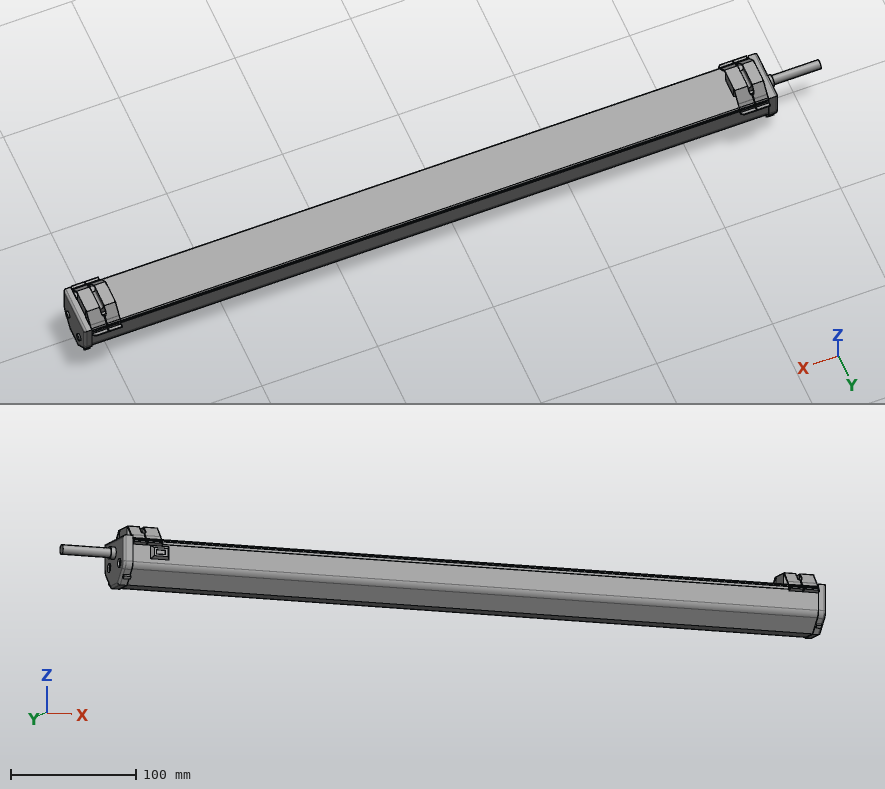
import cadquery as cq
import math

overall_length = 645.39
overall_height = 48.11
clip_width = 51.39

cap_half_width = 22.3
cap_height = 38.4
cap_fillet = 1.9
cap_left_start = 44.8
cap_left_length = 7.9
cap_right_length = 6.5
screw_head_height = 1.5
cap_right_end = overall_length - screw_head_height

profile_inset = 1.0
profile_half_width = cap_half_width - profile_inset
profile_height = 36.9
profile_corner = 1.0
profile_shoulder = profile_height - profile_corner
profile_start = cap_left_start + cap_left_length
profile_end = cap_right_end - cap_right_length

flank_angle = math.radians(45)
shoulder_radius = 8.9
shoulder_center_z = 17.2
shoulder_center_y = cap_half_width - shoulder_radius

groove_drop = 0.9
groove_top = profile_shoulder - groove_drop
groove_height = 2.2
groove_depth = 1.0
groove_bottom = groove_top - groove_height
groove_half_width = profile_half_width - groove_depth

nub_size = 2.6
nub_y = 15.9
nub_z = 5.6

cable_z = 27.3
cable_radius = 3.9
gland_radius = 5.0
gland_start = 40.8

screw_y = 11.7
screw_z = 17.3
screw_radius = 2.9
recess_radius = 3.6
recess_depth = 1.5
socket_radius = 2.0
socket_depth = 3.0

switch_start = 68.0
switch_length = 15.8
switch_bottom = 20.5
switch_top = 31.3
switch_height = switch_top - switch_bottom
switch_projection = 3.0
switch_taper = 35
switch_window_length = 7.6
switch_window_height = 3.4
switch_window_depth = 1.0

clip_length = 25.0
clip_starts = (profile_start, profile_end - clip_length)
clip_thickness = 1.1
clip_top_half_width = 10.6
clip_knee_y = 18.5
clip_knee_z = 39.6
clip_leg_half_width = profile_half_width + clip_thickness
clip_block_half_width = 8.8
lip_tip_z = 33.9
lip_bottom = 31.4
lip_corner = 2.0
notch_width = 3.9
notch_offset = 11.7
notch_floor = 42.0
slit_width = 0.6


def end_view(x):
    """Sketch plane across the bar at x, with local axes along +Y and +Z."""
    return cq.Workplane("YZ", origin=(x, 0, 0))


def mirrored(half):
    """Full left-right symmetric point list from its +Y half."""
    return half + [(-y, z) for y, z in reversed(half)]


def bar_section(x, length, half_width, bottom, top):
    """Prism with vertical walls, rounded shoulders, 45 degree flanks and a flat underside."""
    radius = half_width - shoulder_center_y

    def shoulder_point(angle):
        return (shoulder_center_y + radius * math.cos(angle), shoulder_center_z - radius * math.sin(angle))

    flank_y, flank_z = shoulder_point(flank_angle)
    foot_y = flank_y - (flank_z - bottom)
    middle_y, middle_z = shoulder_point(flank_angle / 2)
    return (
        end_view(x)
        .moveTo(-half_width, top)
        .lineTo(half_width, top)
        .lineTo(half_width, shoulder_center_z)
        .threePointArc((middle_y, middle_z), (flank_y, flank_z))
        .lineTo(foot_y, bottom)
        .lineTo(-foot_y, bottom)
        .lineTo(-flank_y, flank_z)
        .threePointArc((-middle_y, middle_z), (-half_width, shoulder_center_z))
        .close()
        .extrude(length)
    )


def make_profile():
    length = profile_end - profile_start
    profile = bar_section(profile_start, length, profile_half_width, profile_inset / 2, profile_height)
    profile = profile.faces(">Z").edges("|X").chamfer(profile_corner)
    for side in (-1, 1):
        groove_y = side * (profile_half_width - groove_depth / 2)
        groove_z = groove_top - groove_height / 2
        groove = (
            end_view(profile_start)
            .center(groove_y, groove_z)
            .rect(groove_depth, groove_height)
            .extrude(length)
        )
        profile = profile.cut(groove)
    return profile


def make_cap(x, length, outer_face):
    cap = bar_section(x, length, cap_half_width, 0, cap_height)
    cap = cap.faces(outer_face).edges().fillet(cap_fillet)
    nub_start = x if outer_face == ">X" else x + cap_fillet
    for side in (-1, 1):
        nub = (
            end_view(nub_start)
            .center(side * nub_y, nub_z)
            .transformed(rotate=(0, 0, math.degrees(flank_angle)))
            .rect(nub_size, nub_size)
            .extrude(length - cap_fillet)
        )
        cap = cap.union(nub)
    return cap


def screw_cylinders(x, radius, length):
    return end_view(x).pushPoints([(-screw_y, screw_z), (screw_y, screw_z)]).circle(radius).extrude(length)


def make_switch():
    switch = (
        cq.Workplane("XZ", origin=(switch_start, -profile_half_width, switch_bottom))
        .rect(switch_length, switch_height, centered=False)
        .extrude(switch_projection, taper=switch_taper)
    )
    return (
        switch.faces("<Y")
        .workplane(centerOption="CenterOfBoundBox")
        .rect(switch_window_length, switch_window_height)
        .cutBlind(-switch_window_depth)
    )


def make_housing():
    left_cap = make_cap(cap_left_start, cap_left_length, "<X")
    left_cap = left_cap.cut(screw_cylinders(cap_left_start, recess_radius, recess_depth))
    left_cap = left_cap.cut(screw_cylinders(cap_left_start, socket_radius, socket_depth))
    right_cap = make_cap(profile_end, cap_right_length, ">X")
    right_cap = right_cap.union(screw_cylinders(cap_right_end, screw_radius, screw_head_height))
    gland = (
        end_view(gland_start).center(0, cable_z).circle(gland_radius).extrude(cap_left_start - gland_start)
    )
    cable = end_view(0).center(0, cable_z).circle(cable_radius).extrude(gland_start)
    housing = make_profile()
    for piece in (left_cap, right_cap, gland, cable, make_switch()):
        housing = housing.union(piece)
    return housing


def make_clip(x):
    """Bridge over the bar with sloping legs that hook into the side grooves."""
    half_section = [
        (clip_top_half_width, overall_height),
        (clip_knee_y, clip_knee_z),
        (clip_leg_half_width, groove_top),
        (clip_leg_half_width, groove_bottom),
        (clip_width / 2, lip_tip_z),
        (clip_width / 2, lip_tip_z - clip_thickness),
        (profile_half_width, lip_bottom),
        (profile_half_width, groove_bottom),
        (groove_half_width, groove_bottom),
        (groove_half_width, groove_top),
        (profile_half_width, groove_top),
        (profile_half_width, profile_shoulder),
        (profile_half_width - profile_corner, profile_height),
        (clip_knee_y - clip_thickness, clip_knee_z - clip_thickness / 2),
        (clip_top_half_width - clip_thickness / 2, overall_height - clip_thickness),
    ]
    clip = end_view(x).polyline(mirrored(half_section)).close().extrude(clip_length)

    block_height = overall_height - profile_height
    block = (
        end_view(x)
        .center(0, profile_height + block_height / 2)
        .rect(2 * clip_block_half_width, block_height)
        .extrude(clip_length)
    )
    clip = clip.union(block)

    notch_radius = notch_width / 2
    notch = (
        cq.Workplane("XZ", origin=(x + notch_offset, clip_width / 2, 0))
        .moveTo(-notch_radius, overall_height)
        .lineTo(-notch_radius, notch_floor + notch_radius)
        .threePointArc((0, notch_floor), (notch_radius, notch_floor + notch_radius))
        .lineTo(notch_radius, overall_height)
        .close()
        .extrude(clip_width)
    )
    clip = clip.cut(notch)

    slit_depth = clip_width / 2 - clip_block_half_width
    for side in (-1, 1):
        slit = cq.Workplane("XY").box(slit_width, slit_depth, overall_height, centered=(True, True, False))
        slit_y = side * (clip_block_half_width + slit_depth / 2)
        clip = clip.cut(slit.translate((x + notch_offset, slit_y, 0)))

        corner = (
            cq.Workplane("XY")
            .moveTo(x + clip_length, side * clip_width / 2)
            .lineTo(x + clip_length - lip_corner, side * clip_width / 2)
            .lineTo(x + clip_length, side * (clip_width / 2 - lip_corner))
            .close()
            .extrude(overall_height)
        )
        clip = clip.cut(corner)
    return clip


housing = make_housing()
clips = [make_clip(start) for start in clip_starts]
result = cq.Compound.makeCompound([housing.val(), *[clip.val() for clip in clips]])